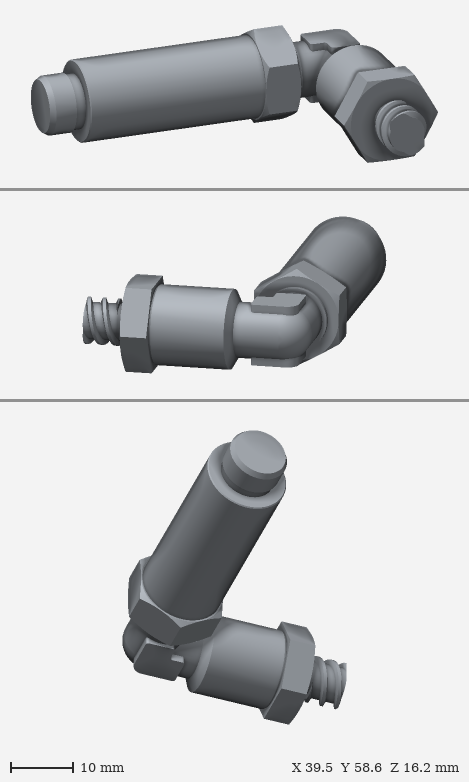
import cadquery as cq
import math


pipe_radius = 9.0 / 2
hex_flats = 14.0
hex_corner_radius = hex_flats / math.sqrt(3)
hex_chamfer_radius = hex_flats / 2

plate_near = 2.5
plate_far = 5.05
plate_inner = 2.4
plate_height = 10.15
plate_outer_fillet = 1.95
plate_small_fillet = 0.45

cone_start = 7.45
outlet_sleeve_start = 8.55
outlet_sleeve_end = 20.6
outlet_hex_start = 20.9
outlet_hex_end = 25.5
outlet_end = 32.45
outlet_sleeve_radius = 13.0 / 2
outlet_neck_radius = 12.55 / 2
outlet_hex_chamfer = 0.3

spigot_radius = 6.0 / 2
thread_radius = 7.6 / 2
thread_start = 26.95
thread_crest_position = 28.3
thread_lead = 5.0
thread_starts = 2
thread_crest_width = 0.5
thread_root_width = 1.35
thread_overlap = 0.25
trim_clearance = 0.6

collar_start = 7.55
inlet_hex_start = 8.45
inlet_hex_end = 14.45
inlet_sleeve_end = 44.4
plug_start = 46.1
inlet_end = 58.6 - hex_corner_radius
collar_radius = 10.5 / 2
inlet_sleeve_radius = 13.5 / 2
inlet_sleeve_chamfer = 0.2
inlet_hex_chamfer = 0.6
plug_radius = 9.7 / 2
plug_chamfer_radial = 0.5
plug_chamfer_axial = 0.9

outlet_plane = cq.Plane(origin=(0, 0, 0), xDir=(0, 1, 0), normal=(1, 0, 0))
inlet_plane = cq.Plane(origin=(0, 0, 0), xDir=(0, 0, 1), normal=(0, -1, 0))


def cylinder(radius, start, end):
    return cq.Workplane("XY").workplane(offset=start).circle(radius).extrude(end - start)


def revolved(profile):
    """Revolve a closed (radius, axial distance) outline about the local Z axis."""
    return cq.Workplane("XZ").polyline(profile).close().revolve(360, (0, 0, 0), (0, 1, 0))


def hex_nut(start, end, start_chamfer, end_chamfer):
    """Hexagon with corners on local X, its ends turned down to the flats' inscribed circle."""
    blank = (
        cq.Workplane("XY")
        .workplane(offset=start)
        .polygon(6, 2 * hex_corner_radius)
        .extrude(end - start)
    )
    profile = [(0, start)]
    if start_chamfer:
        profile.append((hex_chamfer_radius, start))
    profile += [(hex_corner_radius, start + start_chamfer), (hex_corner_radius, end - end_chamfer)]
    if end_chamfer:
        profile.append((hex_chamfer_radius, end))
    profile.append((0, end))
    return blank.intersect(revolved(profile))


def thread():
    """Right-handed trapezoidal ridges, trimmed flat at both ends."""
    spare_turns = 2
    base = thread_crest_position - spare_turns * thread_lead
    height = 2 * spare_turns * thread_lead
    root_radius = spigot_radius - thread_overlap
    path = cq.Workplane(cq.Wire.makeHelix(thread_lead, height, spigot_radius))
    section = [
        (root_radius, -thread_root_width / 2),
        (thread_radius, -thread_crest_width / 2),
        (thread_radius, thread_crest_width / 2),
        (root_radius, thread_root_width / 2),
    ]
    ridge = cq.Workplane("XZ").polyline(section).close().sweep(path, isFrenet=True)
    ridge = ridge.translate((0, 0, base))
    limits = cylinder(thread_radius + trim_clearance, thread_start, outlet_end)
    spigot = cylinder(spigot_radius, outlet_hex_start, outlet_end)
    for index in range(thread_starts):
        angle = 360 * index / thread_starts
        trimmed = ridge.rotate((0, 0, 0), (0, 0, 1), angle).intersect(limits)
        spigot = spigot.union(trimmed)
    return spigot


def outlet_branch():
    sleeve = revolved([
        (0, 0),
        (pipe_radius, 0),
        (pipe_radius, cone_start),
        (outlet_sleeve_radius, outlet_sleeve_start),
        (outlet_sleeve_radius, outlet_sleeve_end),
        (outlet_neck_radius, outlet_sleeve_end),
        (outlet_neck_radius, outlet_hex_start),
        (0, outlet_hex_start),
    ])
    nut = hex_nut(outlet_hex_start, outlet_hex_end, 0, outlet_hex_chamfer)
    return sleeve.union(nut).union(thread())


def inlet_branch():
    body = revolved([
        (0, 0),
        (pipe_radius, 0),
        (pipe_radius, collar_start),
        (collar_radius, collar_start),
        (collar_radius, inlet_hex_start),
        (inlet_sleeve_radius, inlet_hex_start),
        (inlet_sleeve_radius, inlet_sleeve_end - inlet_sleeve_chamfer),
        (inlet_sleeve_radius - inlet_sleeve_chamfer, inlet_sleeve_end),
        (pipe_radius, inlet_sleeve_end),
        (pipe_radius, plug_start),
        (plug_radius, plug_start),
        (plug_radius, inlet_end - plug_chamfer_axial),
        (plug_radius - plug_chamfer_radial, inlet_end),
        (0, inlet_end),
    ])
    nut = hex_nut(inlet_hex_start, inlet_hex_end, inlet_hex_chamfer, inlet_hex_chamfer)
    return body.union(nut)


def side_plates():
    """L-shaped block through the elbow, whose two faces stand proud above and below."""
    block = (
        cq.Workplane("XY")
        .polyline([
            (-plate_near, plate_near),
            (plate_far, plate_near),
            (plate_far, -plate_inner),
            (plate_inner, -plate_inner),
            (plate_inner, -plate_far),
            (-plate_near, -plate_far),
        ])
        .close()
        .extrude(plate_height / 2, both=True)
    )
    outer_corner = cq.selectors.NearestToPointSelector((-plate_near, plate_near, 0))
    upright = block.edges("|Z")
    small_corners = upright.edges(cq.selectors.InverseSelector(outer_corner))
    block = small_corners.fillet(plate_small_fillet)
    return block.edges("|Z").edges(outer_corner).fillet(plate_outer_fillet)


def placed(branch, plane):
    return cq.Workplane(branch.val().moved(cq.Location(plane)))


elbow = cq.Workplane("XY").sphere(pipe_radius)
result = (
    placed(outlet_branch(), outlet_plane)
    .union(placed(inlet_branch(), inlet_plane))
    .union(elbow)
    .union(side_plates())
)